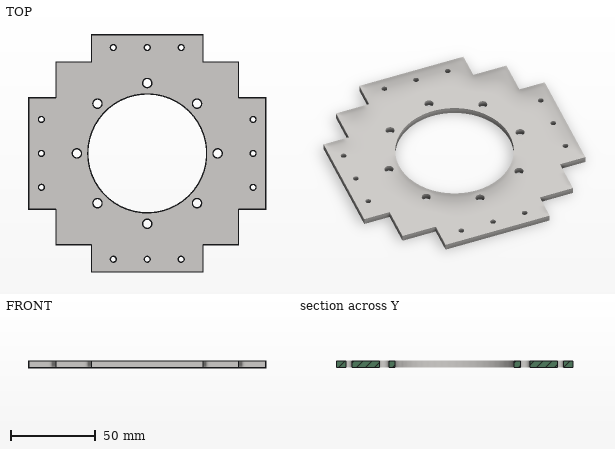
import cadquery as cq

plate_size = 140.0
plate_thickness = 4.0
body_size = 108.0
arm_width = 66.0
bore_diameter = 70.0

bolt_hole_diameter = 5.3
bolt_circle_diameter = 83.0
bolt_count = 8

arm_hole_diameter = 3.4
arm_hole_spacing = 20.0
arm_holes_per_row = 3
arm_row_edge_distance = 7.5
arm_row_offset = plate_size / 2 - arm_row_edge_distance


def make_slab(length, width):
    """Slab centred in X and Y, standing on Z = 0."""
    return cq.Workplane("XY").box(length, width, plate_thickness, centered=(True, True, False))


plate = (
    make_slab(body_size, body_size)
    .union(make_slab(plate_size, arm_width))
    .union(make_slab(arm_width, plate_size))
)

plate = plate.faces(">Z").workplane(origin=(0, 0, 0)).hole(bore_diameter)

plate = (
    plate.faces(">Z")
    .workplane(origin=(0, 0, 0))
    .polarArray(bolt_circle_diameter / 2, 0, 360, bolt_count)
    .hole(bolt_hole_diameter)
)

row_positions = [
    (i - (arm_holes_per_row - 1) / 2) * arm_hole_spacing for i in range(arm_holes_per_row)
]
arm_hole_points = []
for side in (-1, 1):
    for position in row_positions:
        arm_hole_points.append((position, side * arm_row_offset))
        arm_hole_points.append((side * arm_row_offset, position))

result = (
    plate.faces(">Z")
    .workplane(origin=(0, 0, 0))
    .pushPoints(arm_hole_points)
    .hole(arm_hole_diameter)
)